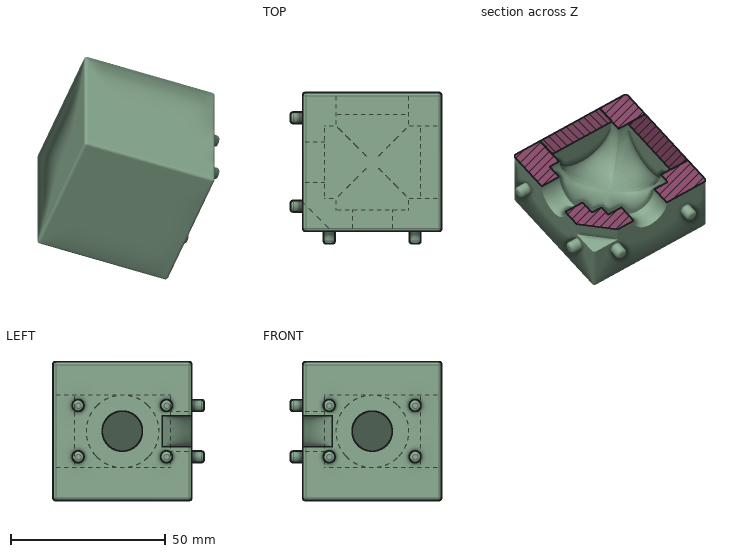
import cadquery as cq

SIZE = 45.0
HALF = SIZE / 2
EDGE_RADIUS = 1.0

NOTCH_LEG = 9.5
NOTCH_HEIGHT = 10.0

PIN_DIAMETER = 3.8
PIN_LENGTH = 4.0
PIN_TIP_RADIUS = 1.0
PIN_HEIGHT_OFFSET = 8.3
FRONT_PIN_OFFSET = 13.9
SIDE_PIN_OFFSET = 14.3

PORT_DIAMETER = 13.0
CHAMBER_DIAMETER = 23.5
WALL = 7.0
PLUG_THICKNESS = WALL


def turn_to_side(shape):
    """Turn a feature of the -Y face about Z so that it serves the -X face."""
    return shape.rotate((0, 0, 0), (0, 0, 1), -90)


def y_cylinder(diameter, start, length):
    """Cylinder along +Y on the centre axis, starting at the depth `start` below the -Y face."""
    plane = cq.Workplane("XZ", origin=(0, start - HALF, 0))
    return plane.circle(diameter / 2).extrude(-length)


def stepped_bore():
    """Narrow port in the -Y wall that opens into a wide chamber running out at +Y."""
    port = y_cylinder(PORT_DIAMETER, 0, WALL)
    chamber = y_cylinder(CHAMBER_DIAMETER, WALL, SIZE - WALL)
    return port.union(chamber)


def corner_notch():
    """Triangular prism at the (-X, -Y) edge, at mid height."""
    return (
        cq.Workplane("XY", origin=(-HALF, -HALF, -NOTCH_HEIGHT / 2))
        .lineTo(NOTCH_LEG, 0)
        .lineTo(0, NOTCH_LEG)
        .close()
        .extrude(NOTCH_HEIGHT)
    )


def pins(sideways_offset):
    """Four pins with rounded tips that stand on the -Y face."""
    pin = (
        cq.Workplane("XZ")
        .circle(PIN_DIAMETER / 2)
        .extrude(PIN_LENGTH)
        .faces("<Y")
        .edges()
        .fillet(PIN_TIP_RADIUS)
    )
    return [
        pin.translate((x, -HALF, z))
        for x in (-sideways_offset, sideways_offset)
        for z in (-PIN_HEIGHT_OFFSET, PIN_HEIGHT_OFFSET)
    ]


def make_housing():
    body = cq.Workplane("XY").box(SIZE, SIZE, SIZE).edges().fillet(EDGE_RADIUS)
    body = body.cut(corner_notch())
    body = body.cut(stepped_bore()).cut(turn_to_side(stepped_bore()))
    for pin in pins(FRONT_PIN_OFFSET):
        body = body.union(pin)
    for pin in pins(SIDE_PIN_OFFSET):
        body = body.union(turn_to_side(pin))
    return body


def make_plug():
    """Disc that fills the chamber's open end, flush with the +Y face."""
    return y_cylinder(CHAMBER_DIAMETER, SIZE - PLUG_THICKNESS, PLUG_THICKNESS)


housing = make_housing()
far_plugs = [make_plug(), turn_to_side(make_plug())]

result = cq.Compound.makeCompound([housing.val(), *[plug.val() for plug in far_plugs]])